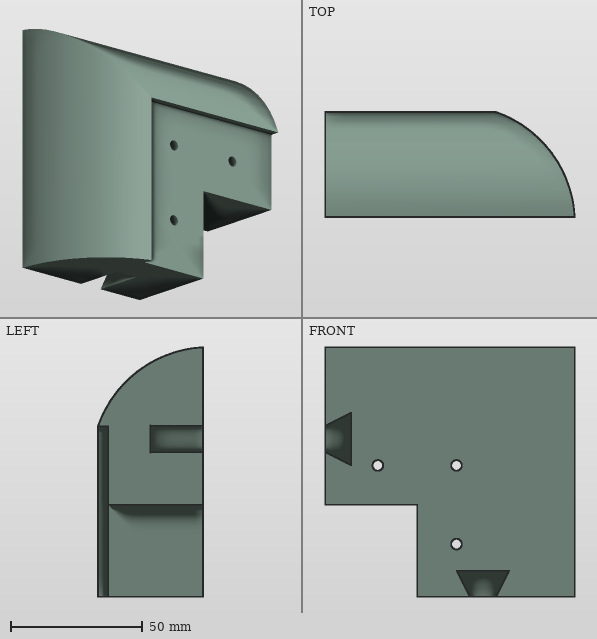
import cadquery as cq
import math

side = 95.0
depth = 40.0
corner_notch = 35.0

round_radius = 45.0
back_edge = 65.0

recess_depth = 3.9

slot_centre = 60.0
slot_mouth = 10.0
slot_floor = 20.0
slot_height = 10.0
slot_length = 20.0

hole_diameter = 4.0
hole_near = 20.0
hole_far = 50.0


def swap_x_and_z(shape):
    """Mirror a shape about the plane x = z."""
    return shape.rotate((0, 0, 0), (0, 1, 0), 90).mirror("XY")


def rounded_bar():
    """Bar along X whose top side is rounded from the front to the back face."""
    rise = side - back_edge
    chord = math.hypot(depth, rise)
    sagitta = round_radius - math.sqrt(round_radius**2 - (chord / 2) ** 2)
    arc_middle = (
        depth / 2 + sagitta * rise / chord,
        (side + back_edge) / 2 + sagitta * depth / chord,
    )
    return (
        cq.Workplane("YZ")
        .lineTo(0, side)
        .threePointArc(arc_middle, (depth, back_edge))
        .lineTo(depth, 0)
        .close()
        .extrude(side)
    )


def bottom_slot():
    """Dovetail slot that opens through the bottom and front faces."""
    return (
        cq.Workplane("XZ")
        .moveTo(slot_centre - slot_mouth / 2, 0)
        .lineTo(slot_centre - slot_floor / 2, slot_height)
        .lineTo(slot_centre + slot_floor / 2, slot_height)
        .lineTo(slot_centre + slot_mouth / 2, 0)
        .close()
        .extrude(-slot_length)
    )


def through_holes():
    centres = [(hole_near, hole_far), (hole_far, hole_far), (hole_far, hole_near)]
    return cq.Workplane("XZ").pushPoints(centres).circle(hole_diameter / 2).extrude(-depth)


top_rounded = rounded_bar()
body = top_rounded.intersect(swap_x_and_z(top_rounded))
body = body.cut(cq.Workplane().box(corner_notch, depth, corner_notch, centered=False))

recess = cq.Workplane().box(back_edge, recess_depth, back_edge, centered=False)
body = body.cut(recess.translate((0, depth - recess_depth, 0)))

slot = bottom_slot()
body = body.cut(slot).cut(swap_x_and_z(slot))
result = body.cut(through_holes())